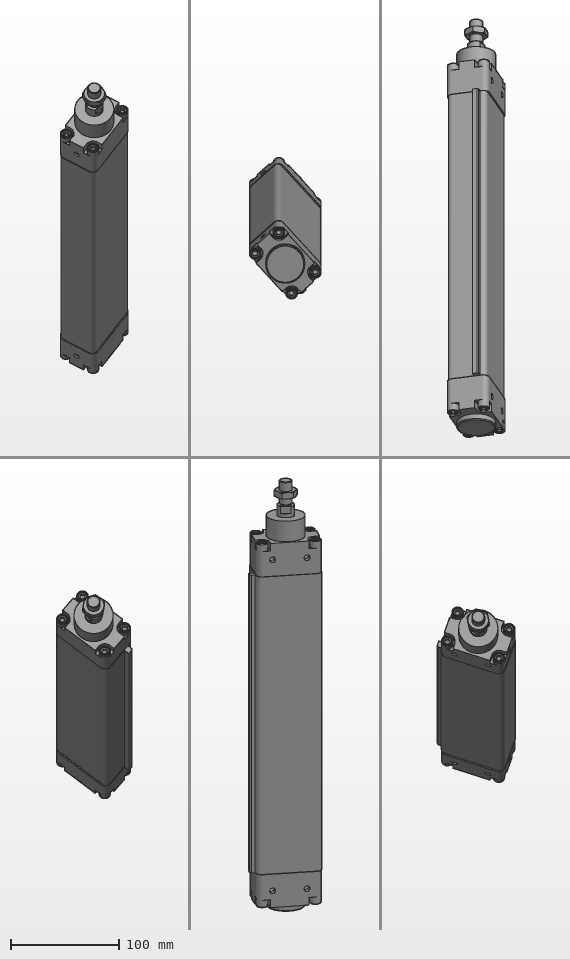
import cadquery as cq
import math

total_height = 414.5
collar_height = 6.0
cap_height = 32.5
barrel_length = 290.0
boss_height = 20.0

lower_cap_z = collar_height
barrel_z = lower_cap_z + cap_height
upper_cap_z = barrel_z + barrel_length
cap_top_z = upper_cap_z + cap_height
boss_top_z = cap_top_z + boss_height

cap_width = 40.0
cap_depth = 61.0
cap_corner_radius = 5.5
boss_diameter = 36.0
collar_chamfer = 1.05

barrel_width = 37.7
barrel_depth = 62.0
barrel_corner_radius = 5.0
rail_center_x = -10.0
rail_width = 6.0
rail_height = 5.0
rail_chamfer = 1.2

screw_x = cap_width / 2 - cap_corner_radius
screw_y = cap_depth / 2 - cap_corner_radius
screw_head_diameter = 2 * cap_corner_radius
screw_head_chamfer = 1.0
socket_recess_diameter = 8.0
socket_recess_depth = 1.2
socket_diameter = 5.0
socket_depth = 4.0
pocket_radius = 7.0
pocket_depth = 7.5

hole_inset = 16.0
hole_heights = (lower_cap_z + hole_inset, cap_top_z - hole_inset)
port_diameter = 5.5
port_depth = 2.0
port_bore_diameter = 4.0
port_bore_depth = 6.2
side_hole_diameter = 5.5
side_hole_depth = 6.2
side_hole_y = 16.0
drill_point_angle = 118.0

shoulder_diameter = 16.0
shoulder_height = 10.5
flat_width = 13.0
flat_height = 6.5
flat_turn = -12.0
thread_diameter = 12.0
thread_end_diameter = 10.8
neck_diameter = 10.8
neck_height = 1.2

nut_width = 19.0
nut_height = 6.2
nut_z = 399.0
nut_chamfer_angle = 25.0
nut_turn = 30.0


def rounded_block(width, depth, height, radius, z):
    block = cq.Workplane("XY").box(width, depth, height, centered=(True, True, False))
    return block.edges("|Z").fillet(radius).translate((0, 0, z))


def cylinder(diameter, height, z):
    return cq.Workplane("XY").workplane(offset=z).circle(diameter / 2).extrude(height)


def drilled_hole(diameter, depth, start, direction):
    """Cutter for a blind hole with a conical drill point."""
    radius = diameter / 2
    point_length = radius / math.tan(math.radians(drill_point_angle / 2))
    start = cq.Vector(*start)
    direction = cq.Vector(*direction)
    shaft = cq.Solid.makeCylinder(radius, depth, start, direction)
    point = cq.Solid.makeCone(radius, 0, point_length, start + direction * depth, direction)
    return cq.Workplane(shaft.fuse(point))


def make_barrel():
    """Flat barrel with a sensor rail along its +Y face."""
    barrel = rounded_block(barrel_width, barrel_depth, barrel_length, barrel_corner_radius, barrel_z)
    left_x = rail_center_x - rail_width / 2
    right_x = rail_center_x + rail_width / 2
    top_y = barrel_depth / 2 + rail_height
    rail = (
        cq.Workplane("XY")
        .workplane(offset=barrel_z)
        .moveTo(left_x, 0)
        .lineTo(right_x, 0)
        .lineTo(right_x, top_y)
        .lineTo(left_x + rail_chamfer, top_y)
        .lineTo(left_x, top_y - rail_chamfer)
        .close()
        .extrude(barrel_length)
    )
    return barrel.union(rail)


def screw_pocket(side_x, side_y, z):
    """Cutter for a corner recess, open to both cap sides and rounded on its inner corner."""
    reach = pocket_radius + cap_corner_radius
    inner_x = screw_x - pocket_radius
    inner_y = screw_y - pocket_radius
    recess = cq.Workplane("XY").box(reach, reach, pocket_depth, centered=False)
    recess = recess.edges("|Z and <X and <Y").fillet(pocket_radius).translate((inner_x, inner_y, z))
    if side_x < 0:
        recess = recess.mirror("YZ")
    if side_y < 0:
        recess = recess.mirror("XZ")
    return recess


def add_cap_screws(housing, face_z, outward):
    """Recess the four corners of one cap and leave a socket screw head in each."""
    floor_z = face_z - outward * pocket_depth
    pocket_z = min(face_z, floor_z)
    recess_z = min(face_z, face_z - outward * socket_recess_depth)
    rim = ">Z" if outward > 0 else "<Z"
    head = cylinder(screw_head_diameter, pocket_depth, pocket_z).faces(rim).chamfer(screw_head_chamfer)
    head = head.cut(cylinder(socket_recess_diameter, socket_recess_depth, recess_z))
    socket = drilled_hole(socket_diameter, socket_depth, (0, 0, face_z), (0, 0, -outward))
    for side_x in (-1, 1):
        for side_y in (-1, 1):
            center = (side_x * screw_x, side_y * screw_y, 0)
            housing = housing.cut(screw_pocket(side_x, side_y, pocket_z))
            housing = housing.union(head.translate(center))
            housing = housing.cut(socket.translate(center))
    return housing


def cut_cap_holes(housing):
    """Air port in the -Y face and two mounting holes in the -X face of each cap."""
    for z in hole_heights:
        for diameter, depth in ((port_diameter, port_depth), (port_bore_diameter, port_bore_depth)):
            port_start = cq.Vector(0, -cap_depth / 2, z)
            bore = cq.Solid.makeCylinder(diameter / 2, depth, port_start, cq.Vector(0, 1, 0))
            housing = housing.cut(cq.Workplane(bore))
        for y in (-side_hole_y, side_hole_y):
            hole_start = (-cap_width / 2, y, z)
            housing = housing.cut(
                drilled_hole(side_hole_diameter, side_hole_depth, hole_start, (1, 0, 0))
            )
    return housing


def make_housing():
    housing = make_barrel()
    for z in (lower_cap_z, upper_cap_z):
        housing = housing.union(rounded_block(cap_width, cap_depth, cap_height, cap_corner_radius, z))
    collar = cylinder(boss_diameter, collar_height, 0).faces("<Z").chamfer(collar_chamfer)
    boss = cylinder(boss_diameter, boss_height, cap_top_z)
    housing = housing.union(collar).union(boss)
    housing = add_cap_screws(housing, cap_top_z, 1)
    housing = add_cap_screws(housing, lower_cap_z, -1)
    return cut_cap_holes(housing)


def make_rod():
    """Rod end: shoulder with two wrench flats, relief neck and threaded tip."""
    shoulder_top_z = boss_top_z + shoulder_height
    shoulder = cylinder(shoulder_diameter, shoulder_height, boss_top_z)
    plain_height = shoulder_height - flat_height
    flats = (
        cq.Workplane("XY")
        .box(flat_width, shoulder_diameter, flat_height, centered=(True, True, False))
        .rotate((0, 0, 0), (0, 0, 1), flat_turn)
        .translate((0, 0, boss_top_z + plain_height))
    )
    base = cylinder(shoulder_diameter, plain_height, boss_top_z)
    shoulder = shoulder.intersect(base.union(flats))
    neck = cylinder(neck_diameter, neck_height, shoulder_top_z)
    thread_z = shoulder_top_z + neck_height
    thread = cylinder(thread_diameter, total_height - thread_z, thread_z)
    thread = thread.faces(">Z").chamfer((thread_diameter - thread_end_diameter) / 2)
    return shoulder.union(neck).union(thread)


def make_nut():
    """Hexagon nut with flats facing +X and -X and chamfered corners."""
    corner_diameter = nut_width / math.cos(math.pi / 6)
    corner_overhang = (corner_diameter - nut_width) / 2
    chamfer_height = corner_overhang * math.tan(math.radians(nut_chamfer_angle))
    hexagon = (
        cq.Workplane("XY")
        .polygon(6, corner_diameter)
        .extrude(nut_height)
        .rotate((0, 0, 0), (0, 0, 1), nut_turn)
    )
    blank = (
        cq.Workplane("XY")
        .circle(corner_diameter / 2)
        .extrude(nut_height)
        .faces("<Z or >Z")
        .chamfer(chamfer_height, corner_overhang)
    )
    nut = hexagon.intersect(blank).translate((0, 0, nut_z))
    return nut.cut(cylinder(thread_diameter, nut_height, nut_z))


housing = make_housing()
rod = make_rod()
nut = make_nut()

result = cq.Compound.makeCompound([housing.val(), rod.val(), nut.val()])